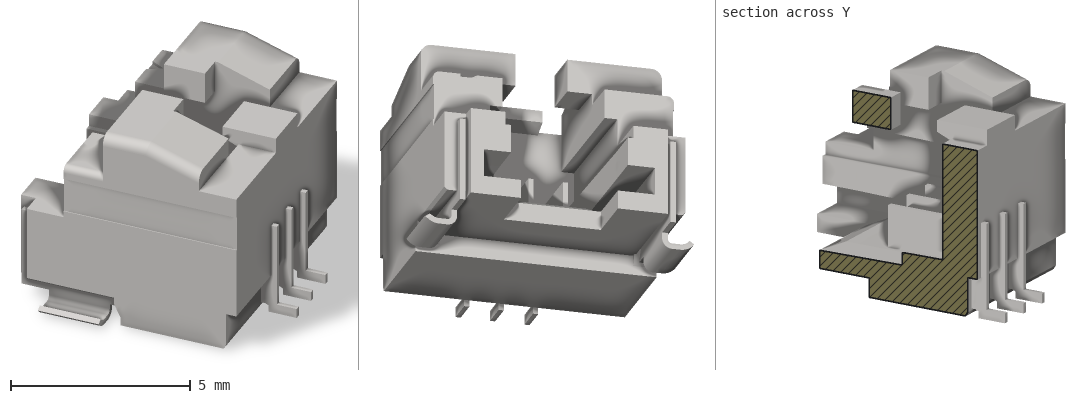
import cadquery as cq
import math


HALF_WIDTH = 3.5
NOSE_HALF_WIDTH = 2.87
CHEEK_FRONT_X = 0.45
STEP_FRONT_X = 1.57
HOOD_FRONT_X = 2.765
HOOD_SLOPE_X = 4.11
DECK_FRONT_X = 5.685
REAR_X = 6.825
BODY_BOTTOM_Z = 0.06
NOSE_BOTTOM_Z = 0.63
NOSE_TOP_Z = 3.16
STEP_TOP_Z = 4.81
DECK_Z = 5.01
HOOD_SLOPE_END_Z = 5.58
TOP_Z = 6.08
STEP_FILLET = 0.195
HOOD_FILLET = 0.305

FOOT_FRONT_X = 3.295
CHEEK_BOTTOM_Z = 0.83
CHEEK_CHAMFER = 0.085
CHEEK_REAR_X = 3.1
RAMP_INNER_Y = 2.81
RAMP_TOP_Z = 0.72
RAMP_BOTTOM_Z = 0.33
REAR_NOTCH_X = 6.51
REAR_NOTCH_Z = 1.2
HEEL_CHAMFER_X = 0.08
HEEL_CHAMFER_Z = 0.13

GROOVE_BOTTOM_Z = 3.36
GROOVE_TOP_Z = 4.41
GROOVE_DEPTH = 0.03
MARK_Y = 2.46
MARK_HALF_WIDTH = 0.24
MARK_LENGTH = 0.43
MARK_DEPTH = 0.085

CAVITY_TOP_Z = 5.12
CAVITY_FLOOR_Z = 1.17
DRAFT_START_X = 1.11
DRAFT = 0.0585
NECK_HALF_WIDTH = 1.49
SHOULDER_Z = 3.96
SHOULDER_HALF_WIDTH = 1.86
LEDGE_Z = 2.79
WAIST_HALF_WIDTH = 1.695
WING_TOP_Z = 1.97
WING_HALF_WIDTH = 2.48
FLOOR_SLOT_HALF_WIDTH = 1.405
FLOOR_SLOT_LENGTH = 1.69

HOOD_GAP_HALF_WIDTH = 0.75
HOOD_BAR_REAR_X = 4.015
BRIDGE_FRONT_X = 5.2
BRIDGE_TOP_Z = 5.47
BRIDGE_UNDERSIDE_Z = 4.92

PLATFORM_HALF_WIDTH = 1.235
PLATFORM_Z = 1.57
PLATFORM_RAMP_END_X = 2.53
PLATFORM_DRAFT_X = 2.93
PLATFORM_RISE = 0.03

CLIP_INNER_Y = 2.975
CLIP_THICKNESS = 0.165
CLIP_FRONT_X = 0.14
CLIP_TOP_Z = 2.875
CLIP_FRONT_BOTTOM_Z = 0.46
CLIP_REAR_BOTTOM_Z = 0.43
TAB_FRONT_X = 0.97
TAB_REAR_X = 2.82
TAB_BEND_RADIUS = 0.125
TAB_CURL_RADIUS = 0.33
TAB_CURL_ANGLE = 54.0
TAB_TIP_Y = 3.905
TAB_CORNER_RADIUS = 0.11

PIN_PITCH = 1.0
PIN_WIDTH = 0.15
PIN_FRONT_X = 3.8
PIN_TOP_Z = 2.82
PIN_BACK_X = 7.0
PIN_TOE_X = 7.6
PIN_FOOT_FRONT_X = 6.74
PIN_FOOT_Z = 0.29
PIN_HEEL_X = 6.64
PIN_HEEL_Z = 0.25
PIN_HEEL_LOW_Z = 0.2


def box(x0, x1, y0, y1, z0, z1):
    return cq.Workplane("XY").box(x1 - x0, y1 - y0, z1 - z0, centered=False).translate((x0, y0, z0))


def side_prism(points, y0, y1):
    """Extrude an (x, z) outline from y0 to y1."""
    return cq.Workplane("XZ", origin=(0, y0, 0)).polyline(points).close().extrude(y0 - y1)


def both_sides(shape):
    """Return the shape together with its mirror image across the centre plane."""
    return shape.union(shape.mirror("XZ"))


def mirrored_outline(half):
    return half + [(-y, z) for y, z in reversed(half)]


def outline_loft(front_x, front, rear_x, rear):
    """Ruled loft between two (y, z) outlines."""
    outlines = cq.Workplane("YZ", origin=(front_x, 0, 0)).polyline(front).close()
    outlines = outlines.workplane(offset=rear_x - front_x).polyline(rear).close()
    return outlines.loft(ruled=True)


def drafted(half_width, x):
    """Half width of a cavity wall at x, allowing for the draft."""
    return half_width - DRAFT * (x - DRAFT_START_X) / (DECK_FRONT_X - DRAFT_START_X)


def make_body():
    base = side_prism(
        [
            (0, NOSE_BOTTOM_Z),
            (FOOT_FRONT_X, NOSE_BOTTOM_Z),
            (FOOT_FRONT_X, BODY_BOTTOM_Z),
            (REAR_NOTCH_X - HEEL_CHAMFER_X, BODY_BOTTOM_Z),
            (REAR_NOTCH_X, BODY_BOTTOM_Z + HEEL_CHAMFER_Z),
            (REAR_NOTCH_X, REAR_NOTCH_Z),
            (REAR_X, REAR_NOTCH_Z),
            (REAR_X, DECK_Z),
            (HOOD_FRONT_X, DECK_Z),
            (HOOD_FRONT_X, NOSE_TOP_Z),
            (0, NOSE_TOP_Z),
        ],
        -HALF_WIDTH,
        HALF_WIDTH,
    )
    step = box(STEP_FRONT_X, HOOD_FRONT_X, -HALF_WIDTH, HALF_WIDTH, NOSE_TOP_Z, STEP_TOP_Z)
    step = step.edges("|X and >Z").fillet(STEP_FILLET)
    hood = side_prism(
        [
            (HOOD_FRONT_X, GROOVE_TOP_Z),
            (HOOD_FRONT_X, TOP_Z),
            (HOOD_SLOPE_X, TOP_Z),
            (DECK_FRONT_X, HOOD_SLOPE_END_Z),
            (DECK_FRONT_X, GROOVE_TOP_Z),
        ],
        -HALF_WIDTH,
        HALF_WIDTH,
    )
    upper_edges = cq.selectors.BoxSelector(
        (HOOD_FRONT_X, -2 * HALF_WIDTH, DECK_Z), (DECK_FRONT_X, 2 * HALF_WIDTH, 2 * TOP_Z)
    )
    hood = hood.edges("(not |Y) and (not |Z)").edges(upper_edges).fillet(HOOD_FILLET)
    return base.union(step).union(hood)


def make_cheek_relief():
    """Space in front of and below each cheek, where the clip is exposed."""
    front = box(0, CHEEK_FRONT_X, NOSE_HALF_WIDTH, HALF_WIDTH, NOSE_BOTTOM_Z, NOSE_TOP_Z)
    below = box(0, FOOT_FRONT_X, NOSE_HALF_WIDTH, HALF_WIDTH, NOSE_BOTTOM_Z, CHEEK_BOTTOM_Z)
    bevel = (
        cq.Workplane("YZ")
        .moveTo(HALF_WIDTH, CHEEK_BOTTOM_Z)
        .lineTo(HALF_WIDTH, CHEEK_BOTTOM_Z + CHEEK_CHAMFER)
        .lineTo(HALF_WIDTH - CHEEK_CHAMFER, CHEEK_BOTTOM_Z)
        .close()
        .extrude(CHEEK_REAR_X)
    )
    return both_sides(front.union(below).union(bevel))


def make_foot_ramp():
    """Sloped transition from the cheek underside to the rear foot."""
    ramp = side_prism(
        [
            (CHEEK_REAR_X, CHEEK_BOTTOM_Z),
            (CHEEK_REAR_X, RAMP_TOP_Z),
            (FOOT_FRONT_X, RAMP_BOTTOM_Z),
            (FOOT_FRONT_X, CHEEK_BOTTOM_Z),
        ],
        RAMP_INNER_Y,
        HALF_WIDTH,
    )
    return both_sides(ramp)


def make_grooves():
    groove = box(STEP_FRONT_X, REAR_X, HALF_WIDTH - GROOVE_DEPTH, HALF_WIDTH, GROOVE_BOTTOM_Z, GROOVE_TOP_Z)
    return both_sides(groove)


def make_mark():
    return (
        cq.Workplane("XY", origin=(STEP_FRONT_X, MARK_Y, STEP_TOP_Z))
        .polyline([(0, -MARK_HALF_WIDTH), (MARK_LENGTH, 0), (0, MARK_HALF_WIDTH)])
        .close()
        .extrude(-MARK_DEPTH)
    )


def cavity_outline(inset):
    """Cavity cross-section with every wall except the open top moved inwards by the inset."""
    neck = NECK_HALF_WIDTH - inset
    shoulder = SHOULDER_HALF_WIDTH - inset
    waist = WAIST_HALF_WIDTH - inset
    wing = WING_HALF_WIDTH - inset
    return mirrored_outline(
        [
            (neck, CAVITY_TOP_Z),
            (neck, SHOULDER_Z - inset),
            (shoulder, SHOULDER_Z - inset),
            (shoulder, LEDGE_Z + inset),
            (waist, LEDGE_Z + inset),
            (waist, WING_TOP_Z - inset),
            (wing, WING_TOP_Z - inset),
            (wing, CAVITY_FLOOR_Z + inset),
        ]
    )


def make_cavity():
    mouth = cq.Workplane("YZ").polyline(cavity_outline(0)).close().extrude(DRAFT_START_X)
    throat = outline_loft(DRAFT_START_X, cavity_outline(0), DECK_FRONT_X, cavity_outline(DRAFT))
    floor_slot = box(
        0,
        FLOOR_SLOT_LENGTH,
        -FLOOR_SLOT_HALF_WIDTH,
        FLOOR_SLOT_HALF_WIDTH,
        NOSE_BOTTOM_Z,
        CAVITY_FLOOR_Z + DRAFT,
    )
    return mouth.union(throat).union(floor_slot)


def make_hood_opening():
    """Gap between the hoods: narrow at their front bars, as wide as the cavity behind them."""
    gap = box(HOOD_FRONT_X, DECK_FRONT_X, -HOOD_GAP_HALF_WIDTH, HOOD_GAP_HALF_WIDTH, CAVITY_TOP_Z, TOP_Z)
    bar_y = drafted(NECK_HALF_WIDTH, HOOD_BAR_REAR_X)
    wall_y = drafted(NECK_HALF_WIDTH, DECK_FRONT_X)
    window = (
        cq.Workplane("XY", origin=(0, 0, CAVITY_TOP_Z))
        .polyline(
            [
                (HOOD_BAR_REAR_X, -bar_y),
                (DECK_FRONT_X, -wall_y),
                (DECK_FRONT_X, wall_y),
                (HOOD_BAR_REAR_X, bar_y),
            ]
        )
        .close()
        .extrude(TOP_Z - CAVITY_TOP_Z)
    )
    return gap.union(window)


def make_bridge():
    return side_prism(
        [
            (BRIDGE_FRONT_X, CAVITY_TOP_Z),
            (BRIDGE_FRONT_X, BRIDGE_TOP_Z),
            (REAR_X, BRIDGE_TOP_Z),
            (REAR_X, BRIDGE_UNDERSIDE_Z),
            (DECK_FRONT_X, BRIDGE_UNDERSIDE_Z),
        ],
        -HOOD_GAP_HALF_WIDTH,
        HOOD_GAP_HALF_WIDTH,
    )


def make_platform():
    under_z = (NOSE_BOTTOM_Z + CAVITY_FLOOR_Z) / 2
    ramp = side_prism(
        [
            (FLOOR_SLOT_LENGTH, under_z),
            (FLOOR_SLOT_LENGTH, CAVITY_FLOOR_Z),
            (PLATFORM_RAMP_END_X, PLATFORM_Z),
            (PLATFORM_DRAFT_X, PLATFORM_Z),
            (PLATFORM_DRAFT_X, under_z),
        ],
        -PLATFORM_HALF_WIDTH,
        PLATFORM_HALF_WIDTH,
    )
    rear_half_width = PLATFORM_HALF_WIDTH + DRAFT
    rear_z = PLATFORM_Z + PLATFORM_RISE
    front = mirrored_outline([(PLATFORM_HALF_WIDTH, PLATFORM_Z), (PLATFORM_HALF_WIDTH, under_z)])
    rear = mirrored_outline([(rear_half_width, rear_z), (rear_half_width, under_z)])
    return ramp.union(outline_loft(PLATFORM_DRAFT_X, front, DECK_FRONT_X, rear))


def make_clip_tab():
    """Solder tab on the +Y side: bends outwards from the clip plate and curls up at its tip."""
    outer_y = CLIP_INNER_Y + CLIP_THICKNESS
    bend_outer = TAB_BEND_RADIUS + CLIP_THICKNESS
    bend_y = CLIP_INNER_Y + bend_outer
    curl_outer = TAB_CURL_RADIUS + CLIP_THICKNESS
    curl_y = TAB_TIP_Y - curl_outer * math.sin(math.radians(TAB_CURL_ANGLE))

    def bend_point(radius):
        return (bend_y - radius * math.sqrt(0.5), bend_outer - radius * math.sqrt(0.5))

    def curl_point(radius, degrees):
        angle = math.radians(degrees)
        return (curl_y + radius * math.sin(angle), curl_outer - radius * math.cos(angle))

    return (
        cq.Workplane("YZ", origin=(TAB_FRONT_X, 0, 0))
        .moveTo(CLIP_INNER_Y, CLIP_FRONT_BOTTOM_Z)
        .lineTo(CLIP_INNER_Y, bend_outer)
        .threePointArc(bend_point(bend_outer), (bend_y, 0))
        .lineTo(curl_y, 0)
        .threePointArc(curl_point(curl_outer, TAB_CURL_ANGLE / 2), curl_point(curl_outer, TAB_CURL_ANGLE))
        .lineTo(*curl_point(TAB_CURL_RADIUS, TAB_CURL_ANGLE))
        .threePointArc(curl_point(TAB_CURL_RADIUS, TAB_CURL_ANGLE / 2), (curl_y, CLIP_THICKNESS))
        .lineTo(bend_y, CLIP_THICKNESS)
        .threePointArc(bend_point(TAB_BEND_RADIUS), (outer_y, bend_outer))
        .lineTo(outer_y, CLIP_FRONT_BOTTOM_Z)
        .close()
        .extrude(TAB_REAR_X - TAB_FRONT_X)
    )


def make_clips():
    plate = side_prism(
        [
            (CLIP_FRONT_X, CLIP_FRONT_BOTTOM_Z),
            (TAB_FRONT_X, CLIP_FRONT_BOTTOM_Z),
            (TAB_FRONT_X, CLIP_REAR_BOTTOM_Z),
            (FOOT_FRONT_X, CLIP_REAR_BOTTOM_Z),
            (FOOT_FRONT_X, CLIP_TOP_Z),
            (CLIP_FRONT_X, CLIP_TOP_Z),
        ],
        CLIP_INNER_Y,
        CLIP_INNER_Y + CLIP_THICKNESS,
    )
    tab = make_clip_tab()
    rounded_tab = tab.faces(">Y").edges("<X").fillet(TAB_CORNER_RADIUS)
    return both_sides(plate).union(rounded_tab).union(tab.mirror("XZ"))


def make_pin(centre_y):
    """Contact blade that passes through the rear wall down to a foot on the board."""
    return side_prism(
        [
            (PIN_FRONT_X, CAVITY_FLOOR_Z),
            (PIN_FRONT_X, PIN_TOP_Z),
            (PIN_BACK_X, PIN_TOP_Z),
            (PIN_BACK_X, PIN_FOOT_Z),
            (PIN_TOE_X, PIN_FOOT_Z),
            (PIN_TOE_X, 0),
            (PIN_FOOT_FRONT_X, 0),
            (PIN_FOOT_FRONT_X, PIN_HEEL_LOW_Z),
            (PIN_HEEL_X, PIN_HEEL_Z),
            (REAR_NOTCH_X, PIN_HEEL_Z),
            (REAR_NOTCH_X, CAVITY_FLOOR_Z),
        ],
        centre_y - PIN_WIDTH / 2,
        centre_y + PIN_WIDTH / 2,
    )


result = make_body()
for removed in (make_cheek_relief(), make_grooves(), make_mark(), make_cavity(), make_hood_opening()):
    result = result.cut(removed)
for added in (make_foot_ramp(), make_platform(), make_bridge(), make_clips()):
    result = result.union(added)
for pin_index in (-1, 0, 1):
    result = result.union(make_pin(pin_index * PIN_PITCH))